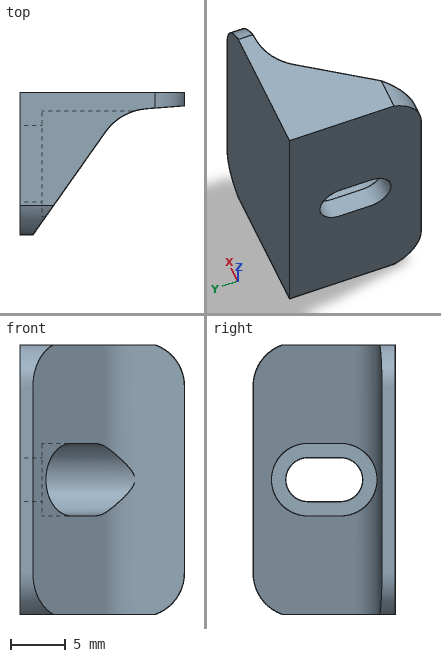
import cadquery as cq
import math

width = 15.0
depth = 13.0
height = 24.6

side_edge_thickness = 1.18
back_edge_thickness = 1.23
web_angle = 54.8
back_flange_taper = 4.4
blend_radius = 5.0

corner_radius = 4.0
corner_start = 3.8

slot_width = 3.99
slot_spacing = 3.0
slot_center_y = -6.5
recess_width = 6.62
recess_floor_x = 2.0


def bracket_body():
    """Profile extruded along Z; the inner corner lies where the two inner faces meet."""
    web_slope = math.tan(math.radians(web_angle))
    flange_slope = math.tan(math.radians(back_flange_taper))
    web_offset = -depth - web_slope * side_edge_thickness
    flange_offset = -back_edge_thickness - flange_slope * width
    inner_x = (flange_offset - web_offset) / (web_slope - flange_slope)
    inner_y = web_offset + web_slope * inner_x
    body = (
        cq.Workplane("XY")
        .polyline([
            (0, 0),
            (0, -depth),
            (side_edge_thickness, -depth),
            (inner_x, inner_y),
            (width, -back_edge_thickness),
            (width, 0),
        ])
        .close()
        .extrude(height / 2, both=True)
    )
    inner_edge = cq.selectors.NearestToPointSelector((inner_x, inner_y, 0))
    return body.edges("|Z").edges(inner_edge).fillet(blend_radius)


def flange_outline(plane, free_edge, length):
    """Prism across a flange, with arcs tangent to its free edge and cut off at the ends."""
    half_height = height / 2
    direction = math.copysign(1, free_edge)
    arc_center = free_edge - direction * corner_radius
    arc_end = arc_center + direction * math.sqrt(corner_radius**2 - corner_start**2)
    mid_angle = math.asin(corner_start / corner_radius) / 2
    arc_mid = arc_center + direction * corner_radius * math.cos(mid_angle)
    straight_half = half_height - corner_start
    mid_height = straight_half + corner_radius * math.sin(mid_angle)
    return (
        cq.Workplane(plane)
        .moveTo(0, -half_height)
        .lineTo(arc_end, -half_height)
        .threePointArc((arc_mid, -mid_height), (free_edge, -straight_half))
        .lineTo(free_edge, straight_half)
        .threePointArc((arc_mid, mid_height), (arc_end, half_height))
        .lineTo(0, half_height)
        .close()
        .extrude(length)
    )


def slot_cutter(slot_size, start_x):
    """Slot lengthwise along Y, running from start_x out past the +X side."""
    return (
        cq.Workplane("YZ", origin=(start_x, slot_center_y, 0))
        .slot2D(slot_spacing + slot_size, slot_size)
        .extrude(width)
    )


result = (
    bracket_body()
    .intersect(flange_outline("XZ", width, depth))
    .intersect(flange_outline("YZ", -depth, width))
    .cut(slot_cutter(slot_width, 0))
    .cut(slot_cutter(recess_width, recess_floor_x))
)